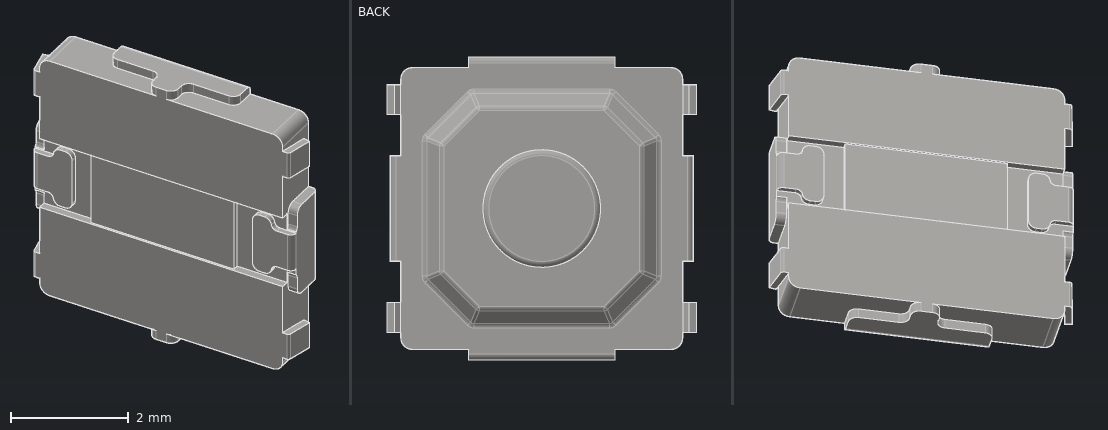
import cadquery as cq
import math


body_side = 4.8
body_half = body_side / 2
body_depth = 0.87
body_corner = 0.2

dome_half = 1.985
dome_corner_cut = 0.79
dome_top = 1.2
dome_inset = 0.275
dome_round = 0.1
dome_foot_round = 0.1

button_diameter = 2.0
button_top = 1.8
button_round = 0.1

cover_thickness = 0.18
cover_half = body_half + cover_thickness
fold_round = 0.1
tab_round = 0.15
end_tab_width = 2.5
end_tab_bottom = 0.4
end_stem_width = 0.5
side_tab_width = 1.795
side_tab_bottom = 0.185
side_stem_width = 0.82
side_stem_round = 0.11

channel_z = 0.05
channel_width = 1.4
channel_depth = 0.0395
end_channel_depth = 0.15
end_channel_start = 1.41

pad_inner = 1.78
pad_outer = 2.155
pad_width = 1.15
pad_round = 0.135
leg_width = 0.73
leg_round = 0.105
leg_bend = 0.105

clip_z = 1.855
clip_width = 0.51
clip_root = 2.265
clip_inner_foot = 2.39
clip_inner_tip = (2.51, 0.525)
clip_outer_tip = (2.635, 0.5)
clip_outer_foot = 2.525
clip_bend = 0.055

select_margin = 0.005


def both_x(shape):
    """Join a shape with its mirror image across X = 0."""
    return shape.union(shape.mirror("YZ"))


def make_box(x_range, y_range, z_range):
    """Make a box spanning three (low, high) ranges."""
    ranges = (x_range, y_range, z_range)
    sizes = [high - low for low, high in ranges]
    lows = tuple(low for low, high in ranges)
    return cq.Workplane("XY").box(*sizes, centered=False).translate(lows)


def span(center, width):
    """Give the (low, high) range of a width about a center."""
    return (center - width / 2, center + width / 2)


def fillet_near(shape, direction, point, radius):
    """Fillet the edge along a direction that lies nearest to a point."""
    nearest = cq.selectors.NearestToPointSelector(point)
    return shape.edges(direction).edges(nearest).fillet(radius)


def make_housing():
    block = cq.Workplane("XZ").rect(body_side, body_side).extrude(-body_depth)
    block = block.edges("|Y").fillet(body_corner)
    channel_span = span(channel_z, channel_width)
    channel = make_box((-body_half, body_half), (0, channel_depth), channel_span)
    channel_end = make_box((end_channel_start, body_half), (0, end_channel_depth), channel_span)
    return block.cut(channel).cut(both_x(channel_end))


def make_dome():
    flat = dome_half - dome_corner_cut
    half_outline = [(dome_half, -flat), (dome_half, flat), (flat, dome_half), (-flat, dome_half)]
    outline = half_outline + [(-x, -z) for x, z in half_outline]
    height = dome_top - body_depth
    slope = math.degrees(math.atan2(dome_inset, height))
    dome = cq.Workplane("XZ", origin=(0, body_depth, 0)).polyline(outline).close()
    dome = dome.extrude(-height, taper=slope)
    dome = dome.edges("not(#Y)").fillet(dome_round)
    return dome.faces(">Y").edges().fillet(dome_round)


def make_button():
    button = cq.Workplane("XZ", origin=(0, dome_top, 0)).circle(button_diameter / 2)
    button = button.extrude(dome_top - button_top)
    return button.faces(">Y").edges().fillet(button_round)


def make_tab(width, bottom, stem_width, stem_round):
    """Make a T-shaped tab on the +X side whose stem reaches the front face."""
    x_range = (body_half - fold_round, cover_half)
    plate = make_box(x_range, (bottom, body_depth), span(0, width))
    plate = plate.edges("|X and <Y").fillet(tab_round)
    stem = make_box(x_range, (0, body_depth), span(0, stem_width))
    tab = plate.union(stem)
    for side in (-1, 1):
        corner = (body_half, bottom, side * stem_width / 2)
        tab = fillet_near(tab, "|X", corner, stem_round)
    return tab.edges(">X and >Y").fillet(fold_round)


def make_end_tabs():
    tab = make_tab(end_tab_width, end_tab_bottom, end_stem_width, tab_round)
    tab = tab.edges("|X and <Y").fillet(tab_round)
    return both_x(tab).rotate((0, 0, 0), (0, 1, 0), 90)


def make_side_tabs():
    tab = make_tab(side_tab_width, side_tab_bottom, side_stem_width, side_stem_round)
    below = make_box((0, 2 * cover_half), (0, end_channel_depth), span(0, side_tab_width))
    return both_x(tab.cut(below))


def make_pads():
    """Make the legs that bend from the side tabs and widen into pads in the channel."""
    y_range = (channel_depth, end_channel_depth)
    pad = make_box((pad_inner, pad_outer), y_range, span(channel_z, pad_width))
    pad = pad.edges("|Y").fillet(pad_round)
    leg = make_box((pad_inner + pad_round, cover_half), y_range, span(channel_z, leg_width))
    pad = pad.union(leg)
    for side in (-1, 1):
        corner = (pad_outer, channel_depth, channel_z + side * leg_width / 2)
        pad = fillet_near(pad, "|Y", corner, leg_round)
    return both_x(pad.edges(">X and <Y").fillet(leg_bend))


def make_clips():
    """Make the four clips, each a leaning strip rooted at the housing's front edge."""
    lean = (clip_inner_tip[0] - clip_inner_foot) / clip_inner_tip[1]
    root_height = (body_half - clip_inner_foot) / lean
    outline = [
        (clip_root, 0),
        (clip_root, root_height),
        (body_half, root_height),
        clip_inner_tip,
        clip_outer_tip,
        (clip_outer_foot, 0),
    ]
    clip = cq.Workplane("XY").polyline(outline).close().extrude(clip_width / 2, both=True)
    clip = fillet_near(clip, "|Z", (clip_outer_foot, 0, 0), clip_bend)
    pair = clip.translate((0, 0, clip_z)).union(clip.translate((0, 0, -clip_z)))
    return both_x(pair)


def round_dome_foot(part):
    """Blend the foot of the dome into the housing."""
    reach = dome_half + select_margin
    foot = cq.selectors.BoxSelector(
        (-reach, body_depth - select_margin, -reach),
        (reach, body_depth + select_margin, reach),
        boundingbox=True,
    )
    return part.edges(foot).fillet(dome_foot_round)


result = round_dome_foot(make_housing().union(make_dome()))
for feature in (make_button(), make_end_tabs(), make_side_tabs(), make_pads(), make_clips()):
    result = result.union(feature)